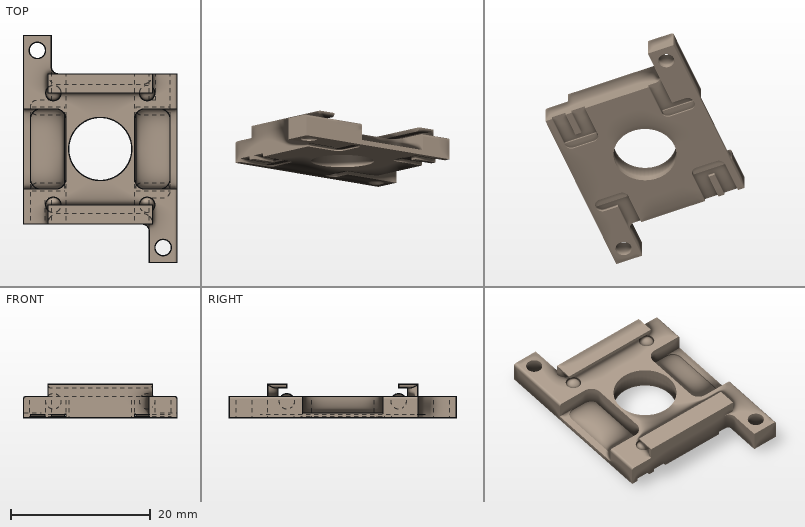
import cadquery as cq
plate_width = 22.0
plate_depth = 21.5
plate_thickness = 3.1
overall_length = 32.5
overall_height = 4.85
side_edge_radius = 0.4
bore_diameter = 9.0

arm_width = 4.0
arm_root_radius = 1.0
arm_hole_diameter = 2.3
arm_hole_end_offset = 2.15

rail_length = 15.0
rail_web_thickness = 1.53
rail_end_radius = 1.5
rail_lip_width = 2.75
rail_lip_thickness = 0.55
rail_lip_end_radius = 0.42

pocket_length = 11.5
pocket_reach = 6.08
pocket_corner_radius = 1.5
shelf_width = 1.0
shelf_height = 0.68

magnet_length = 11.95
magnet_bottom = 0.23
magnet_inner_gap = 0.15
seat_length = 13.98
seat_floor_length = 9.75
seat_depth = 0.5
seat_corner_radius = 0.98
slot_width = 2.08

ball_radius = 1.1
ball_protrusion = 0.4
ball_spacing_x = 13.42
ball_spacing_y = 16.0

half_width = plate_width / 2
half_depth = plate_depth / 2
half_length = overall_length / 2
window_width = pocket_reach - shelf_width
window_centre_x = half_width - shelf_width - window_width / 2
ball_centre_z = plate_thickness + ball_protrusion - ball_radius
ball_centres = [
    (side_x * ball_spacing_x / 2, side_y * ball_spacing_y / 2, ball_centre_z)
    for side_x in (-1, 1)
    for side_y in (-1, 1)
]


def block(x_start, x_end, y_start, y_end, z_start, z_end):
    """Box given by its limits along each axis."""
    size = (x_end - x_start, y_end - y_start, z_end - z_start)
    return cq.Workplane("XY").box(*size, centered=False).translate((x_start, y_start, z_start))


def half_turn(shape):
    """Copy of a shape turned by 180 degrees about the vertical centre line."""
    return shape.rotate((0, 0, 0), (0, 0, 1), 180)


def make_plate():
    """Plate and both arms in one outline, with rounded arm roots and upper side edges."""
    arm_inner_x = half_width - arm_width
    outline = [
        (-half_width, -half_depth),
        (arm_inner_x, -half_depth),
        (arm_inner_x, -half_length),
        (half_width, -half_length),
        (half_width, half_depth),
        (-arm_inner_x, half_depth),
        (-arm_inner_x, half_length),
        (-half_width, half_length),
    ]
    plate = cq.Workplane("XY").polyline(outline).close().extrude(plate_thickness)
    mid_z = plate_thickness / 2
    for root in ((arm_inner_x, -half_depth, mid_z), (-arm_inner_x, half_depth, mid_z)):
        root_edge = cq.selectors.NearestToPointSelector(root)
        plate = plate.edges("|Z").edges(root_edge).fillet(arm_root_radius)
    plate = plate.faces("<X or >X").edges(">Z").fillet(side_edge_radius)

    hole_x = half_width - arm_width / 2
    hole_y = half_length - arm_hole_end_offset
    plate = plate.cut(cq.Workplane("XY").circle(bore_diameter / 2).extrude(plate_thickness))
    arm_holes = (
        cq.Workplane("XY")
        .pushPoints([(hole_x, -hole_y), (-hole_x, hole_y)])
        .circle(arm_hole_diameter / 2)
        .extrude(plate_thickness)
    )
    return plate.cut(arm_holes)


def make_rail():
    """Front rail: a web with rounded inner corners under an inward lip with rounded lower ends."""
    half_rail = rail_length / 2
    lip_bottom = overall_height - rail_lip_thickness
    web = block(
        -half_rail, half_rail,
        -half_depth, -half_depth + rail_web_thickness,
        plate_thickness, overall_height,
    )
    web = web.edges("|Z and >Y").fillet(rail_end_radius)
    lip = block(
        -half_rail, half_rail,
        -half_depth, -half_depth + rail_lip_width,
        lip_bottom, overall_height,
    )
    lip = lip.edges("|Y and <Z").fillet(rail_lip_end_radius)
    return web.union(lip)


def make_side_pocket():
    """Right-hand pocket: a rounded window down to the magnet and a shelf out to the plate side."""
    window = (
        cq.Workplane("XY", origin=(window_centre_x, 0, seat_depth))
        .rect(window_width, pocket_length)
        .extrude(plate_thickness - seat_depth)
        .edges("|Z")
        .fillet(pocket_corner_radius)
    )
    shelf_opening = block(
        window_centre_x, half_width,
        -pocket_length / 2, pocket_length / 2,
        shelf_height, plate_thickness,
    )
    return window.union(shelf_opening)


def rounded_seat_cut(centre_y, length, z_start):
    """Rounded rectangular cut across the seat width, from z_start up to the seat ceiling."""
    return (
        cq.Workplane("XY", origin=(window_centre_x, centre_y, z_start))
        .rect(window_width, length)
        .extrude(seat_depth - z_start)
        .edges("|Z")
        .fillet(seat_corner_radius)
    )


def make_magnet_seat():
    """Right-hand magnet cavity above a floor web, opened to the underside at both ends."""
    recess_length = (seat_length - seat_floor_length) / 2
    recess_y = (seat_length - recess_length) / 2
    seat = rounded_seat_cut(0, seat_length, magnet_bottom)
    for centre_y in (-recess_y, recess_y):
        seat = seat.union(rounded_seat_cut(centre_y, recess_length, 0))
    return seat


def make_wire_slots():
    """Front slots in the underside, from the plate edge to the open ends of the magnet seats."""
    inner_slot_start = half_width - pocket_reach
    outer_slot_start = shelf_width - half_width
    slots = []
    for slot_start in (outer_slot_start, -inner_slot_start - slot_width, inner_slot_start):
        slots.append(
            block(
                slot_start, slot_start + slot_width,
                -half_depth - arm_root_radius, -seat_length / 2 + seat_corner_radius,
                0, seat_depth,
            )
        )
    return slots


def make_base():
    """Plate with its rails, pockets, magnet seats, wire slots and ball sockets."""
    base = make_plate()
    rail = make_rail()
    base = base.union(rail).union(half_turn(rail))
    for cutter in (make_side_pocket(), make_magnet_seat(), *make_wire_slots()):
        base = base.cut(cutter).cut(half_turn(cutter))
    for centre in ball_centres:
        base = base.cut(make_ball_socket(centre))
    return base


def make_ball(centre):
    """Ball standing slightly proud of the plate top."""
    return cq.Workplane("XY").sphere(ball_radius).translate(centre)


def make_ball_socket(centre):
    """Round-bottomed hole of the ball's diameter, straight from the ball centre to the plate top."""
    shaft = cq.Workplane("XY").circle(ball_radius).extrude(plate_thickness - ball_centre_z)
    return make_ball(centre).union(shaft.translate(centre))


def make_magnet():
    """Right-hand magnet, a plain bar on the seat floor that leaves a narrow gap to the inner seat wall."""
    return block(
        half_width - pocket_reach + magnet_inner_gap, half_width - shelf_width,
        -magnet_length / 2, magnet_length / 2,
        magnet_bottom, seat_depth,
    )


base = make_base()
balls = [make_ball(centre) for centre in ball_centres]
magnets = [make_magnet(), half_turn(make_magnet())]

result = cq.Compound.makeCompound(
    [base.val(), *[ball.val() for ball in balls], *[magnet.val() for magnet in magnets]]
)